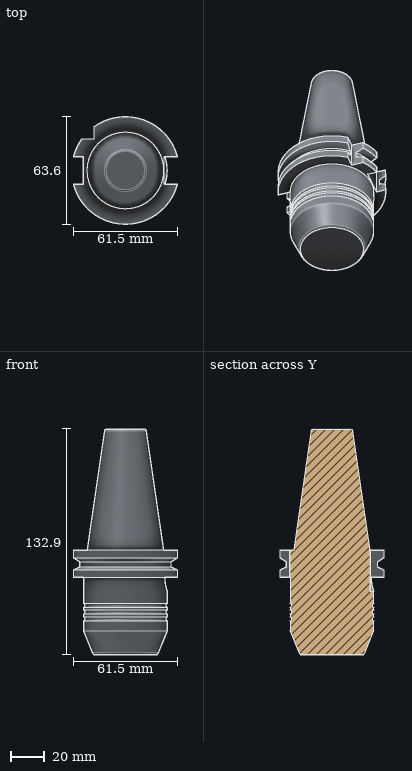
import cadquery as cq

total_height = 132.9
flange_bottom = 45.6
flange_top = 61.7

taper_ratio = 7 / 24
taper_base_radius = 22.6
taper_end_round = 1.0

flange_radius = 31.8
gripper_floor_radius = 28.2
gripper_bottom = 50.0
gripper_top = 57.1
gripper_floor_bottom = 51.7
gripper_floor_top = 54.8

slot_width = 16.1
left_slot_floor = 25.0
right_slot_floor = 22.6
notch_corner = 18.6

body_radius = 24.65
nose_shoulder_height = 14.0
nose_shoulder_round = 1.3
nose_end_radius = 19.5
nose_end_chamfer = 0.9
nose_chamfer_height = 1.2

ring_count = 3
lowest_ring_height = 21.1
ring_pitch = 4.0
ring_width = 2.4
ring_depth = 0.7


def make_taper():
    """Solid spindle taper with a rounded small end."""
    height = total_height - flange_top
    end_radius = taper_base_radius - height * taper_ratio / 2
    cone = cq.Workplane("XZ").polyline([
        (0, flange_top),
        (taper_base_radius, flange_top),
        (end_radius, total_height),
        (0, total_height),
    ]).close().revolve(360, (0, 0), (0, 1))
    return cone.faces(">Z").edges().fillet(taper_end_round)


def flange_cutter(corner, opposite):
    """Rectangular block through the flange thickness between two XY corners."""
    return (
        cq.Workplane("XY", origin=(0, 0, flange_bottom))
        .moveTo(*corner).lineTo(opposite[0], corner[1])
        .lineTo(*opposite).lineTo(corner[0], opposite[1]).close()
        .extrude(flange_top - flange_bottom)
    )


def make_flange():
    """Grooved flange with two drive slots and a corner notch."""
    flange = cq.Workplane("XZ").polyline([
        (0, flange_bottom),
        (flange_radius, flange_bottom),
        (flange_radius, gripper_bottom),
        (gripper_floor_radius, gripper_floor_bottom),
        (gripper_floor_radius, gripper_floor_top),
        (flange_radius, gripper_top),
        (flange_radius, flange_top),
        (0, flange_top),
    ]).close().revolve(360, (0, 0), (0, 1))

    half_slot = slot_width / 2
    left_slot = flange_cutter((-flange_radius, -half_slot), (-left_slot_floor, half_slot))
    right_slot = flange_cutter((right_slot_floor, -half_slot), (flange_radius, half_slot))
    notch = flange_cutter((-flange_radius, notch_corner), (-notch_corner, flange_radius))
    return flange.cut(left_slot).cut(right_slot).cut(notch)


def make_ring_cutter(height):
    """Ring groove with an arc-shaped section centred on the given height."""
    half_width = ring_width / 2
    return (
        cq.Workplane("XZ")
        .moveTo(body_radius, height - half_width)
        .threePointArc((body_radius - ring_depth, height), (body_radius, height + half_width))
        .close()
        .revolve(360, (0, 0), (0, 1))
    )


def make_slot_runout():
    """Round lower end of the +X drive slot, cut into the body below the flange."""
    return (
        cq.Workplane("YZ", origin=(right_slot_floor, 0, 0))
        .center(0, flange_bottom)
        .circle(slot_width / 2)
        .extrude(flange_radius - right_slot_floor)
    )


def make_body():
    """Cylindrical body with a conical nose, ring grooves and the slot runout."""
    body = cq.Workplane("XZ").polyline([
        (0, 0),
        (nose_end_radius - nose_end_chamfer, 0),
        (nose_end_radius, nose_chamfer_height),
        (body_radius, nose_shoulder_height),
        (body_radius, flange_bottom),
        (0, flange_bottom),
    ]).close().revolve(360, (0, 0), (0, 1))
    shoulder = cq.selectors.BoxSelector(
        (-flange_radius, -flange_radius, nose_shoulder_height - nose_shoulder_round),
        (flange_radius, flange_radius, nose_shoulder_height + nose_shoulder_round),
        boundingbox=True,
    )
    body = body.edges(shoulder).fillet(nose_shoulder_round)
    for index in range(ring_count):
        body = body.cut(make_ring_cutter(lowest_ring_height + index * ring_pitch))
    return body.cut(make_slot_runout())


result = make_taper().union(make_flange()).union(make_body())